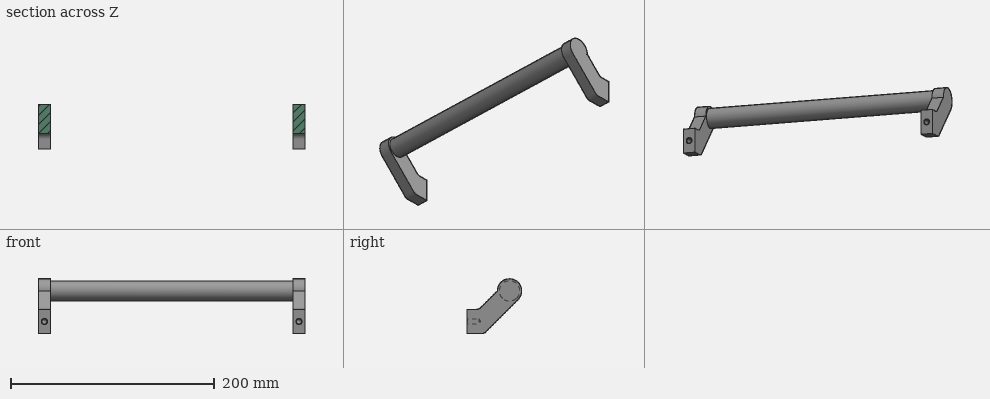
import cadquery as cq
import math

overall_length = 262.0
arm_thickness = 12.0
hub_radius = 12.0
tube_radius = 10.0

axis_to_mount = 42.0
axis_to_bottom = 42.0

foot_height = 2 * hub_radius
bend_radius = 6.0

hole_diameter = 5.0
hole_depth = 12.0
countersink_diameter = 6.0
countersink_angle = 90.0
drill_point_angle = 118.0

arm_center_x = (overall_length - arm_thickness) / 2


def make_arm():
    """Cranked arm: round hub, 45 degree shank and upright foot, centred on X = 0."""
    foot_top = foot_height - axis_to_bottom
    tangent_offset = hub_radius * math.cos(math.radians(45))
    upper_corner_y = foot_top - hub_radius
    lower_corner_y = 2 * tangent_offset - axis_to_bottom
    shank = (
        cq.Workplane("YZ", origin=(-arm_thickness / 2, 0, 0))
        .moveTo(-hub_radius, 0)
        .lineTo(upper_corner_y, foot_top)
        .lineTo(-axis_to_mount, foot_top)
        .lineTo(-axis_to_mount, -axis_to_bottom)
        .lineTo(lower_corner_y, -axis_to_bottom)
        .lineTo(tangent_offset, -tangent_offset)
        .threePointArc((0, hub_radius), (-hub_radius, 0))
        .close()
        .extrude(arm_thickness)
    )

    margin = 1.0
    bend_edges = cq.selectors.BoxSelector(
        (-arm_thickness, upper_corner_y - margin, -axis_to_bottom - margin),
        (arm_thickness, lower_corner_y + margin, foot_top + margin),
    )
    return shank.edges("|X").edges(bend_edges).fillet(bend_radius)


def cone_height(base_radius, included_angle):
    """Height over which a cone of the given included angle closes from base_radius to a point."""
    return base_radius / math.tan(math.radians(included_angle / 2))


def make_screw_hole():
    """Solid of revolution filling the screw hole, entering the mounting face along +Y."""
    bore_radius = hole_diameter / 2
    mouth_radius = countersink_diameter / 2
    countersink_depth = cone_height(mouth_radius - bore_radius, countersink_angle)
    tip_depth = hole_depth + cone_height(bore_radius, drill_point_angle)
    hole_z = foot_height / 2 - axis_to_bottom
    return (
        cq.Workplane("XY", origin=(0, -axis_to_mount, hole_z))
        .lineTo(mouth_radius, 0)
        .lineTo(bore_radius, countersink_depth)
        .lineTo(bore_radius, hole_depth)
        .lineTo(0, tip_depth)
        .close()
        .revolve(360, (0, 0), (0, 1))
    )


def make_tube():
    """Grip tube along X, ending flush with the outer faces of the arms."""
    left_end = cq.Workplane("YZ", origin=(-overall_length / 2, 0, 0))
    return left_end.circle(tube_radius).extrude(overall_length)


arm = make_arm().cut(make_screw_hole())

result = make_tube()
for side in (-1, 1):
    result = result.union(arm.translate((side * arm_center_x, 0, 0)), clean=False)